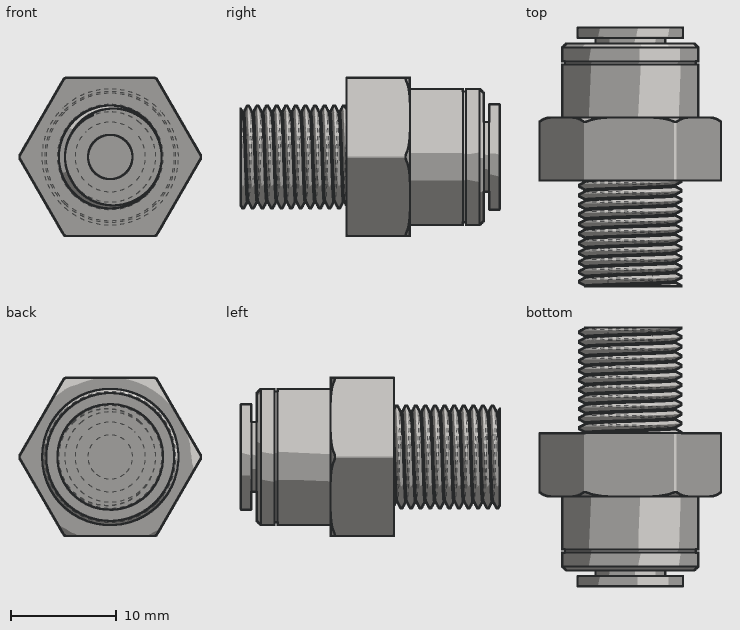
import math

import cadquery as cq


THREAD_LENGTH = 10.0
MM_PER_INCH = 25.4
THREADS_PER_INCH = 28
THREAD_PITCH = MM_PER_INCH / THREADS_PER_INCH
THREAD_MAJOR_DIAMETER = 9.728
THREAD_MINOR_DIAMETER = 8.566
THREAD_FLANK_ANGLE = 55.0
CREST_RADIUS = 0.137 * THREAD_PITCH
ROOT_OVERLAP = 0.1
BORE_DIAMETER = 4.2
BORE_DEPTH = 1.25

HEX_LENGTH = 6.0
HEX_ACROSS_FLATS = 15.0
HEX_CORNER_RADIUS = 0.4
HEX_RIM_FILLET = 0.1
HEX_CROWN_ROUND = 1.6

BODY_LENGTH = 7.0
BODY_DIAMETER = 12.9
BODY_CHAMFER = 0.4
GROOVE_DIAMETER = 12.4
GROOVE_WIDTH = 0.3
GROOVE_FROM_END = 1.7

NECK_LENGTH = 0.5
NECK_DIAMETER = 6.63
COLLAR_LENGTH = 1.0
COLLAR_DIAMETER = 10.0
COLLAR_FILLET = 0.1

HEX_START = THREAD_LENGTH
BODY_START = HEX_START + HEX_LENGTH
NECK_START = BODY_START + BODY_LENGTH
COLLAR_START = NECK_START + NECK_LENGTH


def disc(diameter, start, length):
    """A cylinder on the Y axis running from `start` towards +Y."""
    base = cq.Workplane("XZ", origin=(0, start, 0))
    return base.circle(diameter / 2).extrude(-length)


def thread_ridge():
    """One right-handed helical ridge on the Y axis, with its round crest at +X on the end face."""
    flank = math.radians(THREAD_FLANK_ANGLE / 2)
    major_radius = THREAD_MAJOR_DIAMETER / 2
    inner_radius = THREAD_MINOR_DIAMETER / 2 - ROOT_OVERLAP

    shoulder_radius = major_radius - CREST_RADIUS * (1 - math.sin(flank))
    half_shoulder = CREST_RADIUS * math.cos(flank)
    half_base = half_shoulder + (shoulder_radius - inner_radius) * math.tan(flank)
    section = (
        cq.Workplane("XZ")
        .moveTo(inner_radius, -half_base)
        .lineTo(shoulder_radius, -half_shoulder)
        .threePointArc((major_radius, 0), (shoulder_radius, half_shoulder))
        .lineTo(inner_radius, half_base)
        .close()
    )

    swept_length = THREAD_LENGTH + 2 * THREAD_PITCH
    helix = cq.Workplane(cq.Wire.makeHelix(THREAD_PITCH, swept_length, inner_radius))
    ridge = section.sweep(helix, isFrenet=True)
    return ridge.translate((0, 0, -THREAD_PITCH)).rotate((0, 0, 0), (1, 0, 0), -90)


def threaded_stub():
    """Core and ridge, cut square at the end face and where they meet the hexagon."""
    ridge = thread_ridge().intersect(disc(2 * THREAD_MAJOR_DIAMETER, 0, THREAD_LENGTH))
    return disc(THREAD_MINOR_DIAMETER, 0, THREAD_LENGTH).union(ridge)


def hexagon():
    """Hexagon with flats facing +Z and -Z, round corners, a soft -Y rim and a turned round on +Y."""
    across_corners = HEX_ACROSS_FLATS / math.cos(math.pi / 6)
    base = cq.Workplane("XZ", origin=(0, HEX_START, 0))
    prism = base.polygon(6, across_corners).extrude(-HEX_LENGTH)
    prism = prism.edges("|Y").fillet(HEX_CORNER_RADIUS)
    prism = prism.faces("<Y").edges().fillet(HEX_RIM_FILLET)

    crown_radius = HEX_ACROSS_FLATS / 2 + HEX_CROWN_ROUND
    crown = disc(2 * crown_radius, HEX_START, HEX_LENGTH).faces(">Y").edges().fillet(HEX_CROWN_ROUND)
    return prism.intersect(crown)


def body():
    """Plain round body with a chamfered end and a narrow groove near it."""
    barrel = disc(BODY_DIAMETER, BODY_START, BODY_LENGTH).faces(">Y").chamfer(BODY_CHAMFER)
    groove_start = NECK_START - GROOVE_FROM_END - GROOVE_WIDTH
    ring = disc(BODY_DIAMETER, groove_start, GROOVE_WIDTH)
    ring = ring.cut(disc(GROOVE_DIAMETER, groove_start, GROOVE_WIDTH))
    return barrel.cut(ring)


def release_collar():
    neck = disc(NECK_DIAMETER, NECK_START, NECK_LENGTH)
    flange = disc(COLLAR_DIAMETER, COLLAR_START, COLLAR_LENGTH).edges("%CIRCLE").fillet(COLLAR_FILLET)
    return neck.union(flange)


result = (
    threaded_stub()
    .union(hexagon())
    .union(body())
    .union(release_collar())
    .cut(disc(BORE_DIAMETER, 0, BORE_DEPTH))
)